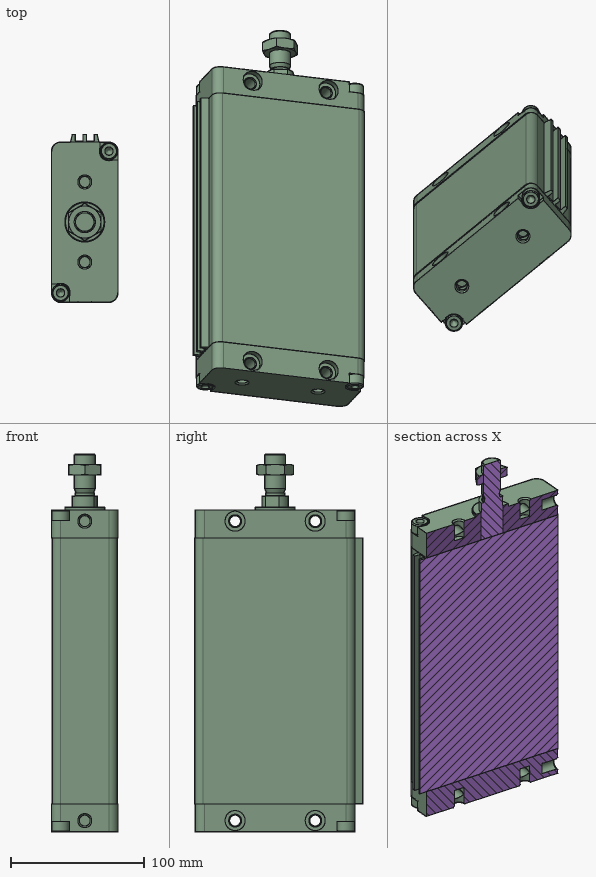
import cadquery as cq
import math

total_height = 284.0
total_depth = 126.5
cap_width = 50.0
cap_depth = 120.0
cap_height = 21.0
barrel_length = 200.0
barrel_width = 48.8
barrel_front_step = 0.43
cap_top = 2 * cap_height + barrel_length

head_diameter = 13.0
head_height = 8.0
head_chamfer = 0.9
head_bore_diameter = 14.5
head_relief_width = 13.3
socket_diameter = 6.2
socket_depth = 5.7
corner_radius = 6.8
screw_x = cap_width / 2 - corner_radius
screw_y = cap_depth / 2 - corner_radius

thread_diameter = 8.2
thread_mouth_diameter = 10.5
thread_depth = 14.2
hole_offset = 30.0
cross_hole_inset = 8.5
cross_hole_mouth_diameter = 9.7
counterbore_diameter = 15.0
counterbore_depth = 5.7

rail_height = total_depth - barrel_front_step - cap_depth
rail_base_width = 21.5
rail_top_width = 18.7
rail_slot_width = 5.7
rail_slot_offset = 4.3
rail_slot_floor = 0.9
rail_root = 2.8

collar_diameter = 30.0
collar_height = 2.3
collar_chamfer = 0.5

rod_diameter = 20.0
rod_shoulder_z = 252.2
flat_width = 17.0
flat_angle = -15.0
neck_diameter = 14.5
neck_top_z = 254.7
neck_flare_diameter = 15.5
neck_flare_height = 0.5
groove_diameter = 13.0
stud_diameter = 16.0
stud_bottom_z = 258.0
stud_chamfer = 1.0

nut_across_flats = 24.0
nut_bottom_z = 268.0
nut_thickness = 8.0
nut_chamfer_angle = 20.0


def build_barrel():
    """Plain profile with rounded corners and a slotted rail along its +Y side."""
    front_y = -cap_depth / 2 - barrel_front_step
    back_y = cap_depth / 2
    barrel = (
        cq.Workplane("XY", origin=(0, (front_y + back_y) / 2, cap_height))
        .rect(barrel_width, back_y - front_y)
        .extrude(barrel_length)
        .edges("|Z")
        .fillet(barrel_width / 2 - screw_x)
    )
    rail_top_y = back_y + rail_height
    rail = (
        cq.Workplane("XY", origin=(0, 0, cap_height))
        .moveTo(-rail_base_width / 2, back_y)
        .lineTo(-rail_top_width / 2, rail_top_y)
        .lineTo(rail_top_width / 2, rail_top_y)
        .lineTo(rail_base_width / 2, back_y)
        .lineTo(rail_base_width / 2, back_y - rail_root)
        .lineTo(-rail_base_width / 2, back_y - rail_root)
        .close()
        .extrude(barrel_length)
    )
    slot_depth = rail_height - rail_slot_floor
    slots = (
        cq.Workplane("XY", origin=(0, 0, cap_height))
        .pushPoints([(side * rail_slot_offset, rail_top_y - slot_depth / 2) for side in (-1, 1)])
        .rect(rail_slot_width, slot_depth)
        .extrude(barrel_length)
    )
    return barrel.union(rail.cut(slots))


def add_corner_screw(cap, side):
    """Open a corner pocket in the end face of the cap and leave a screw head in it."""
    x = side * screw_x
    y = side * screw_y
    floor_z = cap_height - head_height
    floor = cq.Workplane("XY", origin=(x, y, floor_z))
    reach = head_diameter
    pocket = floor.circle(head_bore_diameter / 2).extrude(head_height)
    pocket = pocket.union(
        floor.center(side * reach / 2, 0).rect(reach, head_relief_width).extrude(head_height)
    )
    pocket = pocket.union(
        floor.center(0, side * reach / 2).rect(head_relief_width, reach).extrude(head_height)
    )
    head = floor.circle(head_diameter / 2).extrude(head_height).faces(">Z").chamfer(head_chamfer)
    socket_tip = cq.Vector(x, y, floor_z + head_height - socket_depth)
    socket = cq.Solid.makeCone(0, socket_diameter / 2, socket_depth, socket_tip)
    return cap.cut(pocket).union(head).cut(cq.Workplane("XY").add(socket))


def drill(start, direction, diameter, depth, mouth_diameter):
    """Round cutter with a 45 degree countersunk mouth."""
    origin = cq.Vector(*start)
    axis = cq.Vector(*direction)
    mouth_depth = (mouth_diameter - diameter) / 2
    hole = cq.Solid.makeCylinder(diameter / 2, depth, origin, axis)
    mouth = cq.Solid.makeCone(mouth_diameter / 2, diameter / 2, mouth_depth, origin, axis)
    return cq.Workplane("XY").add(hole.fuse(mouth))


def cut_cross_hole(cap, y):
    """Through hole along X, counterbored from both sides."""
    z = cap_height - cross_hole_inset
    for side in (-1, 1):
        face_x = side * cap_width / 2
        seat_x = face_x - side * counterbore_depth
        inward = cq.Vector(-side, 0, 0)
        counterbore = cq.Solid.makeCylinder(
            counterbore_diameter / 2, counterbore_depth, cq.Vector(face_x, y, z), inward
        )
        cap = cap.cut(cq.Workplane("XY").add(counterbore))
        half_hole = drill(
            (seat_x, y, z), (-side, 0, 0), thread_diameter, abs(seat_x), cross_hole_mouth_diameter
        )
        cap = cap.cut(half_hole)
    return cap


def build_cap():
    """Cap with its inner face at z = 0 and its outer end face at z = cap_height."""
    cap = (
        cq.Workplane("XY")
        .rect(cap_width, cap_depth)
        .extrude(cap_height)
        .edges("|Z")
        .fillet(corner_radius)
    )
    for side in (-1, 1):
        cap = add_corner_screw(cap, side)
    for y in (-hole_offset, hole_offset):
        cap = cut_cross_hole(cap, y)
        end_hole = drill(
            (0, y, cap_height), (0, 0, -1), thread_diameter, thread_depth, thread_mouth_diameter
        )
        cap = cap.cut(end_hole)
    port_z = cap_height - cross_hole_inset
    port = drill(
        (0, -cap_depth / 2, port_z), (0, 1, 0), thread_diameter, thread_depth, thread_mouth_diameter
    )
    return cap.cut(port)


def build_top_cap():
    """Cap with the rod bearing: a low chamfered collar and a bore for the rod."""
    collar = (
        cq.Workplane("XY", origin=(0, 0, cap_height))
        .circle(collar_diameter / 2)
        .extrude(collar_height)
        .faces(">Z")
        .chamfer(collar_chamfer)
    )
    rod_bore = cq.Workplane("XY").circle(rod_diameter / 2).extrude(cap_height + collar_height)
    cap = build_cap().union(collar).cut(rod_bore)
    return cap.translate((0, 0, cap_height + barrel_length))


def build_bottom_cap():
    """Cap without the bearing, mirrored so that its end face lies at z = 0."""
    return build_cap().mirror("XY").translate((0, 0, cap_height))


def build_rod():
    """Turned rod from the inner face of the top cap to the stud end, with two wrench flats."""
    rod_bottom = cap_top - cap_height
    profile = [
        (0, rod_bottom),
        (rod_diameter / 2, rod_bottom),
        (rod_diameter / 2, rod_shoulder_z),
        (neck_flare_diameter / 2, rod_shoulder_z),
        (neck_diameter / 2, rod_shoulder_z + neck_flare_height),
        (neck_diameter / 2, neck_top_z),
        (groove_diameter / 2, neck_top_z),
        (stud_diameter / 2, stud_bottom_z),
        (stud_diameter / 2, total_height - stud_chamfer),
        (stud_diameter / 2 - stud_chamfer, total_height),
        (0, total_height),
    ]
    rod = cq.Workplane("XZ").polyline(profile).close().revolve(360, (0, 0), (0, 1))

    flat_bottom = cap_top + collar_height
    flats = (
        cq.Workplane("XY", origin=(0, 0, flat_bottom))
        .rect(2 * rod_diameter, 2 * rod_diameter)
        .rect(flat_width, 2 * rod_diameter)
        .extrude(rod_shoulder_z - flat_bottom)
        .rotate((0, 0, 0), (0, 0, 1), flat_angle)
    )
    return rod.cut(flats)


def build_nut():
    """Hexagon nut with corners on Y, its corners bevelled by a cone at both ends."""
    half_sector = 180 / 6
    across_corners = nut_across_flats / math.cos(math.radians(half_sector))
    corner_drop = (across_corners - nut_across_flats) / 2 * math.tan(math.radians(nut_chamfer_angle))
    hexagon = (
        cq.Workplane("XY", origin=(0, 0, nut_bottom_z))
        .polygon(6, across_corners)
        .extrude(nut_thickness)
        .rotate((0, 0, 0), (0, 0, 1), half_sector)
    )
    nut_top_z = nut_bottom_z + nut_thickness
    bevel_profile = [
        (0, nut_bottom_z),
        (nut_across_flats / 2, nut_bottom_z),
        (across_corners / 2, nut_bottom_z + corner_drop),
        (across_corners / 2, nut_top_z - corner_drop),
        (nut_across_flats / 2, nut_top_z),
        (0, nut_top_z),
    ]
    bevel = cq.Workplane("XZ").polyline(bevel_profile).close().revolve(360, (0, 0), (0, 1))
    stud_hole = (
        cq.Workplane("XY", origin=(0, 0, nut_bottom_z))
        .circle(stud_diameter / 2)
        .extrude(nut_thickness)
    )
    return hexagon.intersect(bevel).cut(stud_hole)


barrel = build_barrel()
bottom_cap = build_bottom_cap()
top_cap = build_top_cap()
rod = build_rod()
nut = build_nut()

result = cq.Compound.makeCompound(
    [barrel.val(), bottom_cap.val(), top_cap.val(), rod.val(), nut.val()]
)